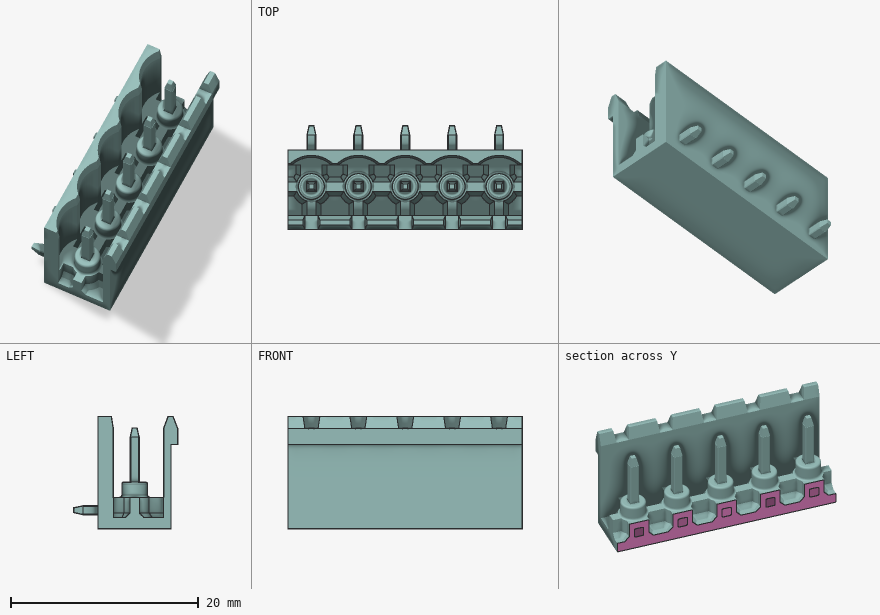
import cadquery as cq

pole_count = 5
pitch = 5.0
length = pole_count * pitch
pole_positions = [(i - (pole_count - 1) / 2) * pitch for i in range(pole_count)]

height = 12.0
floor_height = 1.2
back_outer = 3.92
back_inner = 2.28
front_inner = -3.08
front_outer = -3.9

lip_face = -4.6
lip_height = 3.0
lip_taper_height = 1.3
lip_shoulder = height - lip_taper_height
lip_crest_inner = -3.55
lip_crest_outer = -4.1

notch_top_width = 1.8
notch_floor_width = 1.4

scallop_radius = 3.12
lead_in = 0.2
lead_in_height = 1.25

rib_height = 3.38
rib_width = 1.0
back_rib_width = 2.3
base_flare = 0.5
hub_radius = 1.62

collar_radius = 1.38
collar_top = 5.0
collar_round = 0.22
collar_root_round = hub_radius - collar_radius

pin_size = 1.0
pin_edge_chamfer = 0.1
pin_tip_base = 0.95
pin_tip_end = 0.52
pin_tip_length = 0.98
pin_top = 10.78
pin_back = 6.5
pin_tail_height = 2.0

socket_size = 1.1


def housing_shell():
    """U-shaped channel along X with a tapered latch lip on the front wall."""
    profile = [
        (back_outer, 0),
        (back_outer, height),
        (back_inner + lead_in, height),
        (back_inner, height - lead_in_height),
        (back_inner, floor_height),
        (front_inner, floor_height),
        (front_inner, lip_shoulder),
        (lip_crest_inner, height),
        (lip_crest_outer, height),
        (lip_face, lip_shoulder),
        (lip_face, height - lip_height),
        (front_outer, height - lip_height),
        (front_outer, 0),
    ]
    return cq.Workplane("YZ").polyline(profile).close().extrude(length / 2, both=True)


def scallop(x):
    """Cylinder around a pin axis that widens towards the top, kept to the back half."""
    section = [
        (0, rib_height),
        (scallop_radius, rib_height),
        (scallop_radius, height - lead_in_height),
        (scallop_radius + lead_in, height),
        (0, height),
    ]
    half_turn = cq.Workplane("XZ").polyline(section).close().revolve(180, (0, 0), (0, 1))
    return half_turn.translate((x, 0, 0))


def lip_notch(x):
    """Notch through the lip crest, with sloping sides."""
    section = [
        (x - notch_floor_width / 2, lip_shoulder),
        (x + notch_floor_width / 2, lip_shoulder),
        (x + notch_top_width / 2, height),
        (x - notch_top_width / 2, height),
    ]
    return (
        cq.Workplane("XZ", origin=(0, front_inner, 0))
        .polyline(section).close().extrude(front_inner - lip_face)
    )


def rib_section(width):
    """Corners of a rib standing on the floor, flared out at its foot."""
    foot = width / 2 + base_flare
    flare_top = floor_height + base_flare
    return [
        (-foot, floor_height),
        (foot, floor_height),
        (width / 2, flare_top),
        (width / 2, rib_height),
        (-width / 2, rib_height),
        (-width / 2, flare_top),
    ]


def long_rib():
    """Rib along X through all the poles."""
    return cq.Workplane("YZ").polyline(rib_section(rib_width)).close().extrude(length / 2, both=True)


def cross_ribs(x):
    """Wide rib from a hub to the back wall and narrow rib to the front wall."""
    plane = cq.Workplane("XZ", origin=(x, 0, 0))
    back = plane.polyline(rib_section(back_rib_width)).close().extrude(-back_inner)
    front = plane.polyline(rib_section(rib_width)).close().extrude(-front_inner)
    return back.union(front)


def hub(x):
    """Round hub with a flared foot and a rounded collar on top."""
    section = (
        cq.Workplane("XZ")
        .moveTo(0, floor_height)
        .lineTo(hub_radius + base_flare, floor_height)
        .lineTo(hub_radius, floor_height + base_flare)
        .lineTo(hub_radius, rib_height)
        .radiusArc((collar_radius, rib_height + collar_root_round), collar_root_round)
        .lineTo(collar_radius, collar_top - collar_round)
        .radiusArc((collar_radius - collar_round, collar_top), -collar_round)
        .lineTo(0, collar_top)
        .close()
    )
    return section.revolve(360, (0, 0), (0, 1)).translate((x, 0, 0))


def pin_leg(leg_length):
    """Square bar along Z from the origin, with chamfered edges and a stepped, tapered tip."""
    bar_length = leg_length - pin_tip_length
    bar = (
        cq.Workplane("XY").rect(pin_size, pin_size).extrude(bar_length)
        .edges("|Z").chamfer(pin_edge_chamfer)
    )
    tip = (
        cq.Workplane("XY").workplane(offset=bar_length).rect(pin_tip_base, pin_tip_base)
        .workplane(offset=pin_tip_length).rect(pin_tip_end, pin_tip_end).loft()
    )
    return bar.union(tip)


def pin(x):
    """Bent pin: one leg up through the collar and one leg out through the back wall."""
    upright = pin_leg(pin_top - pin_tail_height)
    tail = pin_leg(pin_back).rotate((0, 0, 0), (1, 0, 0), -90)
    elbow = cq.Workplane("XY").box(pin_size, pin_size, pin_size)
    return elbow.union(upright).union(tail).translate((x, 0, pin_tail_height))


def pin_socket(x):
    """Square clearance hole down the collar to the top of the pin's tail."""
    socket_floor = pin_tail_height + pin_size / 2
    return (
        cq.Workplane("XY", origin=(x, 0, socket_floor))
        .rect(socket_size, socket_size).extrude(collar_top - socket_floor)
    )


housing = housing_shell().union(long_rib())
for x in pole_positions:
    housing = housing.cut(scallop(x)).cut(lip_notch(x))
    housing = housing.union(cross_ribs(x)).union(hub(x))

pins = [pin(x) for x in pole_positions]
for x, bent_pin in zip(pole_positions, pins):
    housing = housing.cut(pin_socket(x)).cut(bent_pin)

result = cq.Compound.makeCompound([housing.val(), *[bent_pin.val() for bent_pin in pins]])